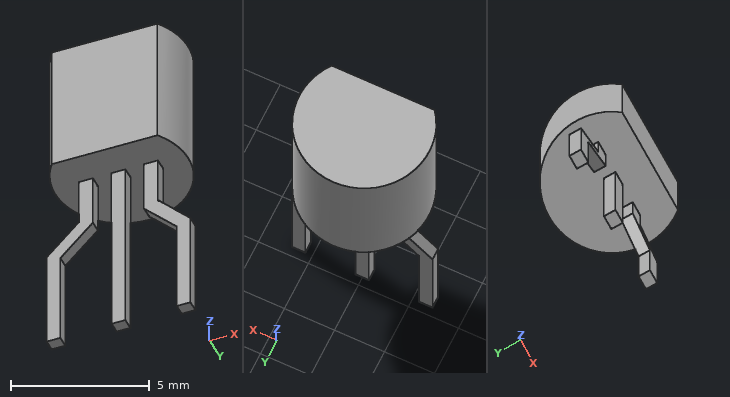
import cadquery as cq

total_height = 12.53
case_height = 5.34
case_bottom = total_height - case_height

case_diameter = 5.2
case_depth = 4.19
case_radius = case_diameter / 2
flat_distance = case_depth - case_radius

lead_span = 5.63
tip_gap = 4.54
lead_width = (lead_span - tip_gap) / 2
lead_thickness = 0.48
lead_y = -0.06
lower_pitch = (lead_span - lead_width) / 2
upper_pitch = lower_pitch / 2
bend_top = 5.3
inner_bend_drop = 0.23
bend_height = lower_pitch - upper_pitch


def make_case():
    """Round case with a flat front face."""
    flat_half_width = (case_radius**2 - flat_distance**2) ** 0.5
    return (
        cq.Workplane("XY", origin=(0, 0, case_bottom))
        .moveTo(-flat_half_width, -flat_distance)
        .lineTo(flat_half_width, -flat_distance)
        .threePointArc((0, case_radius), (-flat_half_width, -flat_distance))
        .close()
        .extrude(case_height)
    )


def extrude_lead(outline):
    """Give an X-Z outline the lead thickness, centred on the lead plane."""
    profile = cq.Workplane("XZ", origin=(0, lead_y, 0)).polyline(outline).close()
    return profile.extrude(lead_thickness / 2, both=True)


def make_straight_lead():
    """Middle lead, straight from the case to its tip."""
    half_width = lead_width / 2
    return extrude_lead([
        (-half_width, 0),
        (half_width, 0),
        (half_width, case_bottom),
        (-half_width, case_bottom),
    ])


def make_bent_lead(side):
    """Outer lead that leans outwards; side is -1 for -X and 1 for +X."""
    half_width = lead_width / 2
    inner_bend_top = bend_top - inner_bend_drop
    outline = [
        (upper_pitch - half_width, case_bottom),
        (upper_pitch + half_width, case_bottom),
        (upper_pitch + half_width, bend_top),
        (lower_pitch + half_width, bend_top - bend_height),
        (lower_pitch + half_width, 0),
        (lower_pitch - half_width, 0),
        (lower_pitch - half_width, inner_bend_top - bend_height),
        (upper_pitch - half_width, inner_bend_top),
    ]
    return extrude_lead([(side * x, z) for x, z in outline])


case = make_case()
straight_lead = make_straight_lead()
bent_leads = [make_bent_lead(side) for side in (-1, 1)]

result = cq.Compound.makeCompound([
    case.val(),
    straight_lead.val(),
    *[lead.val() for lead in bent_leads],
])